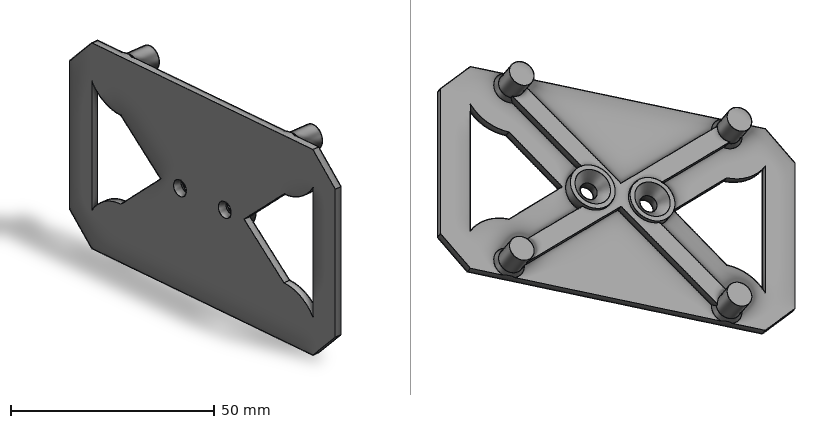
import cadquery as cq
import math

PLATE_LENGTH = 95.0
PLATE_HEIGHT = 57.0
PLATE_THICKNESS = 2.0
CORNER_CHAMFER = 8.0

POST_X = 29.15
POST_Z = 24.7
POST_DIAMETER = 6.6
POST_TOP = 10.0
FLARE_WIDTH = 0.8
FLARE_HEIGHT = 1.15

RIB_WIDTH = 5.0
RIB_TOP = 4.0

BOSS_X = 8.0
BOSS_DIAMETER = 12.0
BOSS_TOP = 5.0
HOLE_DIAMETER = 4.5
COUNTERSINK_DIAMETER = 9.5
COUNTERSINK_DEPTH = 2.5

FRAME_WIDTH = 8.0
WINDOW_TIP_X = 14.9
WINDOW_ARC_RADIUS = 12.4


def boss_cylinder(x, diameter):
    """Cylinder along Y from the plate's front face to the boss top."""
    base = cq.Plane(origin=(x, 0, 0), xDir=(0, 0, 1), normal=(0, 1, 0))
    return cq.Workplane(base).circle(diameter / 2).extrude(BOSS_TOP)


def countersink(x):
    """Conical screw-head recess opening at the top of a boss."""
    floor = cq.Plane(origin=(x, BOSS_TOP - COUNTERSINK_DEPTH, 0), xDir=(0, 0, 1), normal=(0, 1, 0))
    return (
        cq.Workplane(floor)
        .circle(HOLE_DIAMETER / 2)
        .workplane(offset=COUNTERSINK_DEPTH)
        .circle(COUNTERSINK_DIAMETER / 2)
        .loft(ruled=True)
    )


def plate():
    """Rectangular plate with chamfered corners."""
    blank = cq.Workplane("XY").box(
        PLATE_LENGTH, PLATE_THICKNESS, PLATE_HEIGHT, centered=(True, False, True)
    )
    return blank.edges("|Y").chamfer(CORNER_CHAMFER)


def rib(direction):
    """Rib through the plate centre, rising (+1) or falling (-1) along X."""
    length = 2 * math.hypot(POST_X, POST_Z)
    angle = math.degrees(math.atan2(POST_Z, POST_X))
    bar = cq.Workplane("XY").box(length, RIB_TOP, RIB_WIDTH, centered=(True, False, True))
    return bar.rotate((0, 0, 0), (0, 1, 0), -direction * angle)


def post(x, z):
    """Round post with a conical flare at its foot."""
    radius = POST_DIAMETER / 2
    flare_top = PLATE_THICKNESS + FLARE_HEIGHT
    profile = (
        cq.Workplane("ZY")
        .polyline([
            (0, 0),
            (radius + FLARE_WIDTH, 0),
            (radius + FLARE_WIDTH, PLATE_THICKNESS),
            (radius, flare_top),
            (radius, POST_TOP),
            (0, POST_TOP),
        ])
        .close()
    )
    return profile.revolve(axisStart=(0, 0, 0), axisEnd=(0, 1, 0)).translate((x, 0, z))


def window(side):
    """Window on the +X (side = 1) or -X (side = -1) half."""
    outer_x = PLATE_LENGTH / 2 - FRAME_WIDTH

    def arc_height(x):
        return POST_Z - math.sqrt(WINDOW_ARC_RADIUS**2 - (x - POST_X) ** 2)

    middle_x = (POST_X + outer_x) / 2
    return (
        cq.Workplane("XZ")
        .moveTo(side * WINDOW_TIP_X, 0)
        .lineTo(side * POST_X, arc_height(POST_X))
        .threePointArc(
            (side * middle_x, arc_height(middle_x)),
            (side * outer_x, arc_height(outer_x)),
        )
        .lineTo(side * outer_x, -arc_height(outer_x))
        .threePointArc(
            (side * middle_x, -arc_height(middle_x)),
            (side * POST_X, -arc_height(POST_X)),
        )
        .close()
        .extrude(-POST_TOP)
    )


def build():
    """Join plate, ribs, posts and bosses, then cut holes and windows."""
    body = plate()
    for direction in (1, -1):
        body = body.union(rib(direction))
    for x in (-POST_X, POST_X):
        for z in (-POST_Z, POST_Z):
            body = body.union(post(x, z))
    body = body.intersect(
        cq.Workplane("XY").box(PLATE_LENGTH, POST_TOP, PLATE_HEIGHT, centered=(True, False, True))
    )
    for side in (1, -1):
        body = body.union(boss_cylinder(side * BOSS_X, BOSS_DIAMETER))
    for side in (1, -1):
        body = body.cut(boss_cylinder(side * BOSS_X, HOLE_DIAMETER))
        body = body.cut(countersink(side * BOSS_X))
        body = body.cut(window(side))
    return body


result = build()